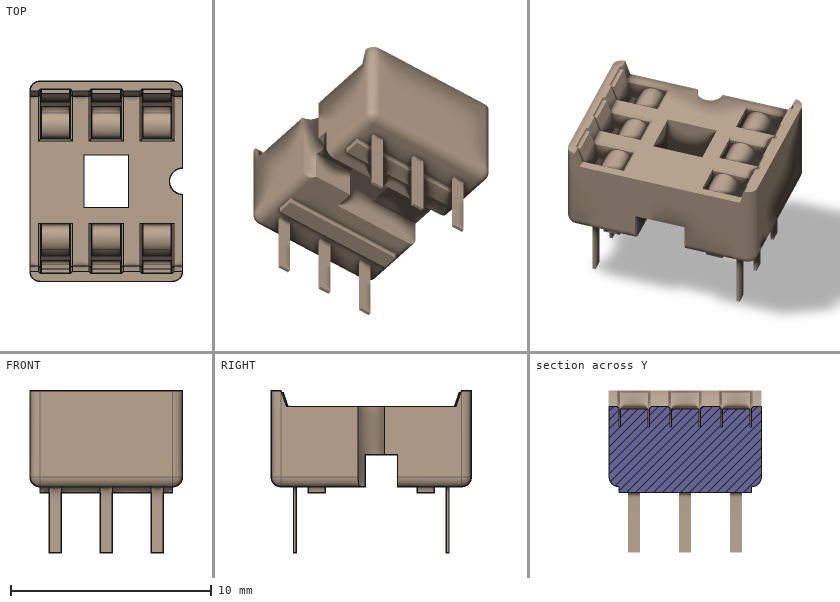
import cadquery as cq
import math


body_length_x = 7.62
body_width_y = 10.0
body_height = 4.8
edge_radius = 0.5
deck_z = 4.01
rim_top_y = 4.5
rim_foot_y = 4.23

window_x = 2.2
window_y = 2.6
notch_height = 1.6
far_notch_start_y = -0.29
key_radius = 0.65

pin_pitch = 2.54
pins_per_row = 3
pocket_width = 1.5
pocket_inner_y = 2.1
pocket_outer_y = 4.61
pocket_floor_z = 3.0
pocket_chamfer = 0.1

contact_width = 1.4
plate_top_z = 4.7
plate_bend_y = 4.15
plate_foot_y = 3.96
spring_center_y = 2.79
spring_radius = 0.7
spring_foot_y = 3.72
spring_ramp_angle = 60.0

row_y = 3.81
pin_width = 0.61
pin_thickness = 0.16
pin_length = 3.3

bar_y = 2.72
bar_width = 0.87
bar_height = 0.3
bar_length = body_length_x - 2 * edge_radius

rim_run = rim_top_y - rim_foot_y
rim_rise = body_height - deck_z
plate_top_y = plate_bend_y + rim_run * (plate_top_z - deck_z) / rim_rise
pocket_bend_y = pocket_outer_y - rim_run
pocket_foot_y = pocket_bend_y - (plate_bend_y - plate_foot_y)
plate_back_y = pocket_outer_y - rim_run * (body_height - plate_top_z) / rim_rise

pin_positions = [(i - (pins_per_row - 1) / 2) * pin_pitch for i in range(pins_per_row)]


def block(x_range, y_range, z_range):
    """Box spanning the given (low, high) ranges."""
    size = [high - low for low, high in (x_range, y_range, z_range)]
    corner = (x_range[0], y_range[0], z_range[0])
    return cq.Workplane("XY").box(*size, centered=False).translate(corner)


def prism(outline, width):
    """Extrude a (y, z) outline along X, centred on X = 0."""
    return cq.Workplane("YZ").polyline(outline).close().extrude(width / 2, both=True)


def make_housing():
    """Rounded block with a sunken deck between two sloped rims."""
    housing = cq.Workplane("XY").box(
        body_length_x, body_width_y, body_height, centered=(True, True, False)
    )
    housing = housing.edges("|Z").fillet(edge_radius)
    housing = housing.faces("<Z").edges().fillet(edge_radius)
    trough = prism(
        [
            (-rim_foot_y, deck_z),
            (rim_foot_y, deck_z),
            (rim_top_y, body_height),
            (-rim_top_y, body_height),
        ],
        body_length_x,
    )
    return housing.cut(trough)


def cut_openings(housing):
    """Central window, one underside notch per side wall, and the key recess."""
    half_x = body_length_x / 2
    half_y = window_y / 2
    window = block((-window_x / 2, window_x / 2), (-half_y, half_y), (0, body_height))
    near_notch = block((-half_x, 0), (-half_y, half_y), (0, notch_height))
    far_notch = block((0, half_x), (far_notch_start_y, half_y), (0, notch_height))
    key = cq.Workplane("XY").center(half_x, 0).circle(key_radius).extrude(body_height)
    return housing.cut(window).cut(near_notch).cut(far_notch).cut(key)


def cut_pocket(housing, pin_x, side):
    """Pocket for one contact, running from the deck into the rim; side is +1 or -1 along Y."""
    pocket = prism(
        [
            (side * pocket_inner_y, pocket_floor_z),
            (side * pocket_foot_y, pocket_floor_z),
            (side * pocket_bend_y, deck_z),
            (side * pocket_outer_y, body_height),
            (side * pocket_inner_y, body_height),
        ],
        pocket_width,
    )
    housing = housing.cut(pocket.translate((pin_x, 0, 0)))

    mid_deck_y = side * (pocket_inner_y + rim_foot_y) / 2
    mid_slope_y = side * (rim_foot_y + rim_top_y) / 2
    mid_slope_z = (deck_z + body_height) / 2
    mouth = []
    for x in (pin_x - pocket_width / 2, pin_x + pocket_width / 2):
        mouth.append((x, mid_deck_y, deck_z))
        mouth.append((x, mid_slope_y, mid_slope_z))
    if side > 0:
        mouth.append((pin_x, pocket_inner_y, deck_z))
    edges = [housing.edges(cq.selectors.NearestToPointSelector(point)).val() for point in mouth]
    return housing.newObject(edges).chamfer(pocket_chamfer)


def make_contact():
    """Contact of the +Y row at X = 0: back plate, spring and pin."""
    plate = prism(
        [
            (pocket_foot_y, pocket_floor_z),
            (plate_foot_y, pocket_floor_z),
            (plate_bend_y, deck_z),
            (plate_top_y, plate_top_z),
            (plate_back_y, plate_top_z),
            (pocket_bend_y, deck_z),
        ],
        contact_width,
    )

    ramp = math.radians(spring_ramp_angle)
    tangent_y = spring_center_y + spring_radius * math.sin(ramp)
    tangent_z = pocket_floor_z + (spring_foot_y - tangent_y) * math.tan(ramp)
    center_z = tangent_z - spring_radius * math.cos(ramp)
    inner_y = spring_center_y - spring_radius
    spring = (
        cq.Workplane("YZ")
        .moveTo(inner_y, pocket_floor_z)
        .lineTo(spring_foot_y, pocket_floor_z)
        .lineTo(tangent_y, tangent_z)
        .threePointArc((spring_center_y, center_z + spring_radius), (inner_y, center_z))
        .close()
        .extrude(contact_width / 2, both=True)
    )

    pin = block(
        (-pin_width / 2, pin_width / 2),
        (row_y - pin_thickness / 2, row_y + pin_thickness / 2),
        (-pin_length, pocket_floor_z),
    )
    return plate, spring, pin


def make_bar():
    """Standoff bar on the +Y side."""
    return block(
        (-bar_length / 2, bar_length / 2),
        (bar_y - bar_width / 2, bar_y + bar_width / 2),
        (-bar_height, edge_radius),
    )


result = cut_openings(make_housing())
for side in (1, -1):
    for pin_x in pin_positions:
        result = cut_pocket(result, pin_x, side)

bar = make_bar()
result = result.union(bar).union(bar.mirror("XZ"))
for piece in make_contact():
    for pin_x in pin_positions:
        placed = piece.translate((pin_x, 0, 0))
        result = result.union(placed).union(placed.mirror("XZ"))